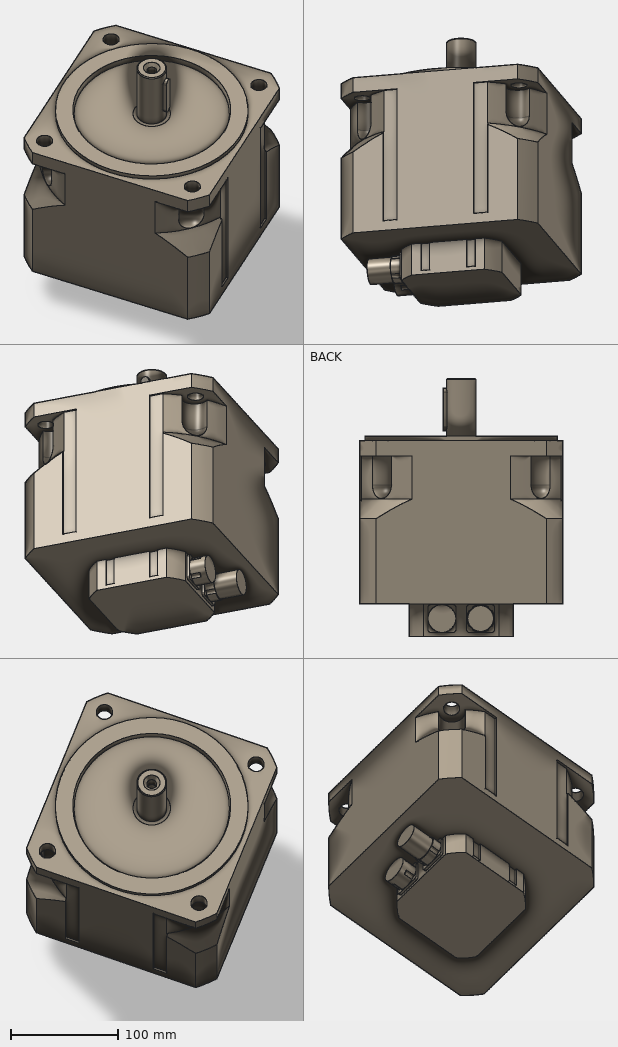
import cadquery as cq
import math

total_height = 241.0
cover_top = 30.5
block_top = 183.2
pilot_top = 187.3

block_width = 190.0
block_corner_diameter = 247.7

pilot_diameter = 180.0
recess_rim_diameter = 147.5
recess_floor_diameter = 145.0
floor_z = 182.2

flange_underside = 168.7
pocket_wall_radius = 105.5
pocket_ledge_z = 128.5
cutter_clearance = 2.5
mount_offset = 75.7
mount_hole_diameter = 15.0
tool_scoop_offset = 73.7
tool_scoop_diameter = 25.0
tool_scoop_ball_z = 141.5

slot_depth = 2.0
block_slot_inner = 37.0
block_slot_outer = 50.5
block_slot_bottom = 40.2
cover_slot_inner = 17.8
cover_slot_outer = 26.3
cover_slot_bottom = 3.9

cover_width = 97.4
cover_corner_diameter = 120.0

connector_z = 16.9
connector_x = 18.0
plate_width = 26.0
plate_thickness = 2.5
plate_corner_radius = 2.7
screw_relief_radius = 3.0
collar_length = 9.5
plug_diameter = 24.0
plug_end_y = 83.1
socket_end_y = 66.8

shaft_diameter = 28.0
shaft_chamfer = 1.0
shoulder_diameter = 35.0
shoulder_length = 9.6
center_rim_diameter = 15.5
center_bore_diameter = 9.0
center_bore_depth = 14.5
drill_point_angle = 118.0

key_length = 40.0
key_width = 8.0
key_height = 7.0
key_outer_x = 16.9
key_bottom_z = 192.0


def rod(diameter, bottom, top, x=0.0, y=0.0):
    """Upright cylinder between two heights."""
    return cq.Workplane("XY", origin=(x, y, bottom)).circle(diameter / 2).extrude(top - bottom)


def turned_square(width, corner_diameter, bottom, top):
    """Square bar with its corners turned down to a cylinder about Z."""
    square = cq.Workplane("XY", origin=(0, 0, bottom)).rect(width, width).extrude(top - bottom)
    return square.intersect(rod(corner_diameter, bottom, top))


def side_slots(body_width, inner, outer, bottom, top):
    """Four shallow slots, two on each X side of a body."""
    slots = cq.Workplane("XY")
    for x_side in (-1, 1):
        for y_side in (-1, 1):
            slot = cq.Workplane("XY").box(slot_depth, outer - inner, top - bottom).translate((
                x_side * (body_width - slot_depth) / 2,
                y_side * (inner + outer) / 2,
                (bottom + top) / 2,
            ))
            slots = slots.add(slot)
    return slots.combine()


def corner_pockets():
    """Ring-shaped cutter that opens the four corners under the flange."""
    cutter_radius = block_corner_diameter / 2 + cutter_clearance
    slope_drop = cutter_radius - pocket_wall_radius
    return (
        cq.Workplane("XZ")
        .moveTo(pocket_wall_radius, flange_underside)
        .lineTo(cutter_radius, flange_underside)
        .lineTo(cutter_radius, pocket_ledge_z - slope_drop)
        .lineTo(pocket_wall_radius, pocket_ledge_z)
        .close()
        .revolve(360, (0, 0, 0), (0, 1, 0))
    )


def tool_scoop(x, y):
    """Ball-ended clearance that lets a screw reach its mounting hole."""
    ball = cq.Workplane("XY", origin=(x, y, tool_scoop_ball_z)).sphere(tool_scoop_diameter / 2)
    return rod(tool_scoop_diameter, tool_scoop_ball_z, flange_underside, x, y).union(ball)


def mount_hole(x, y):
    """Screw hole through the flange."""
    return rod(mount_hole_diameter, flange_underside, block_top, x, y)


def front_recess():
    """Slightly tapered round recess inside the pilot ring."""
    return (
        cq.Workplane("XZ")
        .moveTo(0, floor_z)
        .lineTo(recess_floor_diameter / 2, floor_z)
        .lineTo(recess_rim_diameter / 2, pilot_top)
        .lineTo(0, pilot_top)
        .close()
        .revolve(360, (0, 0, 0), (0, 1, 0))
    )


def connector(x, collar_end_y, end_y):
    """Round connector on a square plate, with its collar relieved over the four plate screws."""
    cover_y = cover_width / 2
    collar_start_y = cover_y + plate_thickness

    def facing_y(y):
        return cq.Workplane("XZ", origin=(x, y, connector_z))

    plate = (
        facing_y(cover_y)
        .rect(plate_width, plate_width)
        .extrude(-plate_thickness)
        .edges("|Y")
        .fillet(plate_corner_radius)
    )
    screw_pitch = plate_width - 2 * plate_corner_radius
    collar = facing_y(collar_start_y).circle(plate_width / 2).extrude(collar_start_y - collar_end_y)
    reliefs = (
        facing_y(collar_start_y)
        .rect(screw_pitch, screw_pitch, forConstruction=True)
        .vertices()
        .circle(screw_relief_radius)
        .extrude(-collar_length)
    )
    body = facing_y(cover_y).circle(plug_diameter / 2).extrude(cover_y - end_y)
    return body.union(collar).cut(reliefs).union(plate)


def make_housing():
    block = turned_square(block_width, block_corner_diameter, cover_top, block_top)
    block = block.union(rod(pilot_diameter, block_top, pilot_top))
    block = block.cut(front_recess())
    block = block.cut(corner_pockets())
    block = block.cut(
        side_slots(block_width, block_slot_inner, block_slot_outer, block_slot_bottom, flange_underside)
    )
    for x_side in (-1, 1):
        for y_side in (-1, 1):
            block = block.cut(tool_scoop(x_side * tool_scoop_offset, y_side * tool_scoop_offset))
            block = block.cut(mount_hole(x_side * mount_offset, y_side * mount_offset))
    block = block.cut(rod(shoulder_diameter, floor_z - shoulder_length, floor_z))

    cover = turned_square(cover_width, cover_corner_diameter, 0, cover_top)
    cover = cover.cut(
        side_slots(cover_width, cover_slot_inner, cover_slot_outer, cover_slot_bottom, cover_top)
    )
    collar_end_y = cover_width / 2 + plate_thickness + collar_length
    plug = connector(-connector_x, collar_end_y, plug_end_y)
    socket = connector(connector_x, socket_end_y, socket_end_y)
    return block.union(cover).union(plug).union(socket)


def key_blank():
    """Round-ended key lying along Z on the +X side of the shaft."""
    return (
        cq.Workplane("YZ", origin=(key_outer_x - key_height, 0, key_bottom_z + key_length / 2))
        .slot2D(key_length, key_width, 90)
        .extrude(key_height)
    )


def center_hole():
    """Countersunk blind hole with a drill point in the shaft end."""
    rim_radius = center_rim_diameter / 2
    bore_radius = center_bore_diameter / 2
    bore_bottom = total_height - center_bore_depth
    point_depth = bore_radius / math.tan(math.radians(drill_point_angle / 2))
    return (
        cq.Workplane("XZ")
        .moveTo(0, total_height)
        .lineTo(rim_radius, total_height)
        .lineTo(bore_radius, total_height - (rim_radius - bore_radius))
        .lineTo(bore_radius, bore_bottom)
        .lineTo(0, bore_bottom - point_depth)
        .close()
        .revolve(360, (0, 0, 0), (0, 1, 0))
    )


def make_shaft():
    journal = rod(shaft_diameter, floor_z, total_height).faces(">Z").chamfer(shaft_chamfer)
    shoulder = rod(shoulder_diameter, floor_z - shoulder_length, floor_z)
    return journal.union(shoulder).cut(key_blank()).cut(center_hole())


housing = make_housing()
shaft = make_shaft()
key = key_blank()

result = cq.Compound.makeCompound([housing.val(), shaft.val(), key.val()])